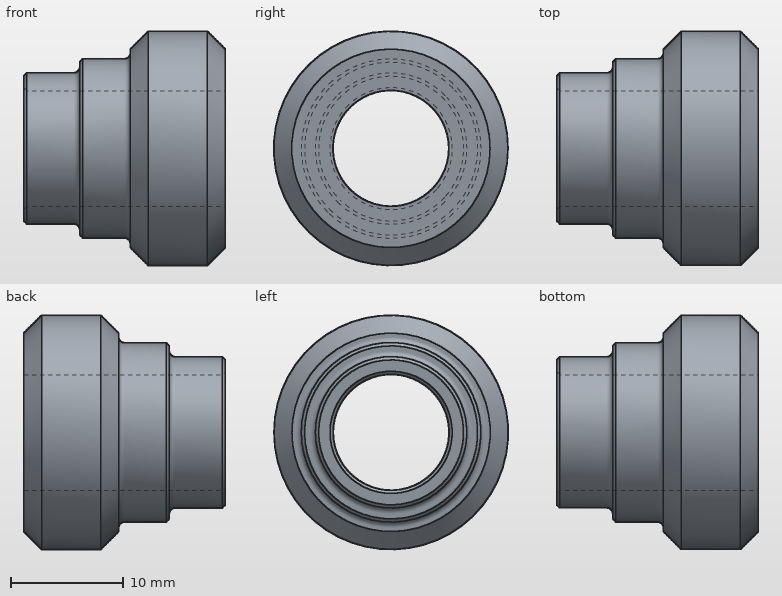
import cadquery as cq

total_length = 18.0
nose_diameter = 13.5
collar_diameter = 16.0
body_diameter = 20.9
bore_diameter = 10.3

collar_start = 5.0
body_start = 9.5

edge_chamfer = 0.3
body_chamfer = 1.6
shoulder_fillet = 0.5


def cylinder(diameter, start, end):
    """Solid cylinder along +X between two X positions."""
    return cq.Workplane("YZ", origin=(start, 0, 0)).circle(diameter / 2).extrude(end - start)


def shoulder_corner(diameter, shoulder_x):
    """Ring that rounds the corner between a cylinder and the shoulder face at its end."""
    radius = diameter / 2
    profile = (
        cq.Workplane("XY")
        .moveTo(shoulder_x - shoulder_fillet, radius)
        .radiusArc((shoulder_x, radius + shoulder_fillet), -shoulder_fillet)
        .lineTo(shoulder_x, radius)
        .close()
    )
    return profile.revolve(360, (0, 0, 0), (1, 0, 0))


nose = cylinder(nose_diameter, 0, collar_start).faces("<X").edges().chamfer(edge_chamfer)
collar = cylinder(collar_diameter, collar_start, body_start).faces("<X").edges().chamfer(edge_chamfer)
body = cylinder(body_diameter, body_start, total_length).edges("%CIRCLE").chamfer(body_chamfer)

nose_corner = shoulder_corner(nose_diameter, collar_start)
collar_corner = shoulder_corner(collar_diameter, body_start)

outside = nose.union(collar).union(body).union(nose_corner).union(collar_corner)

bored = outside.cut(cylinder(bore_diameter, 0, total_length))
result = bored.faces("<X").edges("%CIRCLE").edges(cq.selectors.RadiusNthSelector(0)).chamfer(edge_chamfer)